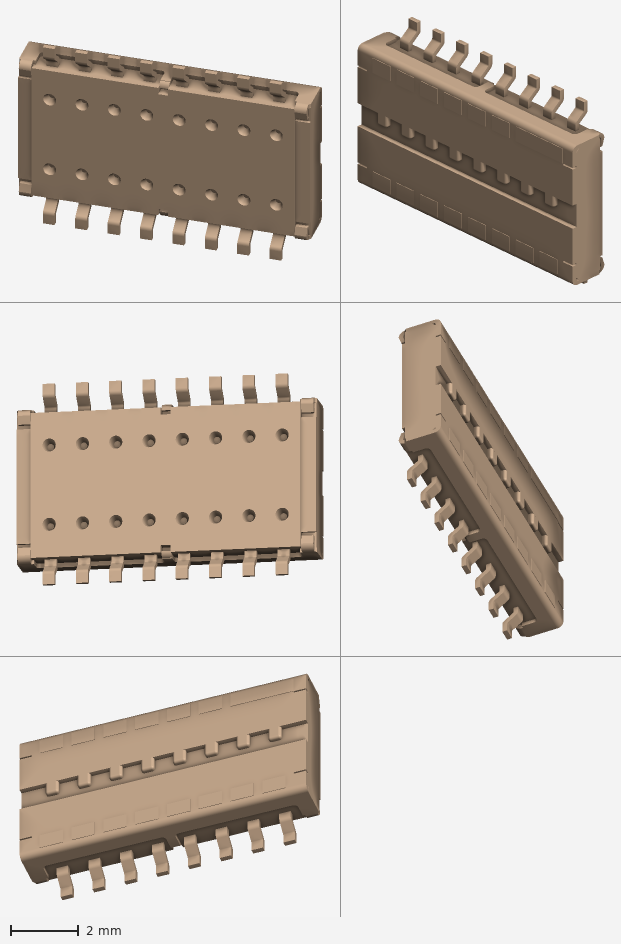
import cadquery as cq
import math


length = 9.0
half_length = length / 2
positions = 8
pitch = 1.0

cover_half_height = 2.34
side_thickness = 0.135
back_thickness = 0.16
cover_outer_radius = 0.19
cover_inner_radius = 0.05
inner_back_y = -back_thickness
side_edge_y = -1.12
end_wall_inner_x = 4.05
end_wall_front_y = -1.25
hook_notch_y = -1.15
hook_notch_inner_z = 1.75
corner_gap_leg = 0.11

window_back_y = -0.59
window_outer_x = 4.0
window_corner_radius = 0.135
tab_width = 0.3
tab_half_width = tab_width / 2
tab_bend_radius = 0.2
tab_front_y = -1.23

hook_inner_x = 4.07
hook_outer_x = 4.44
hook_bend_radius = 0.22
hook_front_y = -1.39
hook_tip_length = 0.25
hook_tip_shift = 0.08
hook_shoulder_y = -1.2

groove_half_height = 0.39
slit_z = 1.63
slit_width = 0.05
slit_length = 0.4
pad_width = 0.73
pad_height = 0.02
pad_inner_z = slit_z + slit_width / 2
pad_outer_z = cover_half_height - cover_outer_radius
first_pad_start_x = -4.1

base_half_height = cover_half_height - side_thickness
base_front_y = -1.35
tab_notch_height = 0.22

hole_row_z = 1.21
hole_mouth_radius = 0.2
hole_bottom_radius = 0.1
hole_depth = 0.27

lead_width = 0.36
lead_thickness = 0.15
lead_root_y = -1.02
lead_front_y = -1.45
lead_foot_y = lead_front_y + lead_thickness / 2
lead_lower_bend_z = 2.44
lead_upper_bend_z = 2.71
lead_tip_z = 3.05
lead_inner_bend_radius = 0.06
lead_outer_bend_radius = 0.14

knob_width = 0.41
knob_lower_z = -0.02
knob_radius = 0.08
knob_upper_z = groove_half_height
slider_pocket_depth = 0.18

position_x = [(i - (positions - 1) / 2) * pitch for i in range(positions)]


def box(x_range, y_range, z_range):
    """Axis-aligned block from three (start, end) ranges."""
    (x0, x1), (y0, y1), (z0, z1) = x_range, y_range, z_range
    return cq.Workplane("XY").box(x1 - x0, y1 - y0, z1 - z0, centered=False).translate((x0, y0, z0))


def both_long_sides(shape):
    """The shape together with its copy on the -Z side."""
    return shape.union(shape.mirror("XY"))


def bent_strip(x_start, x_end, front_y, outer_radius, tip_length=0.0, tip_shift=0.0):
    """Piece of the +Z cover side that curls down over the base front, with an optional slanted tip."""
    inner_radius = outer_radius - side_thickness
    centre_y = front_y + outer_radius
    centre_z = cover_half_height - outer_radius
    diagonal = math.sqrt(0.5)
    tip_z = centre_z - tip_length
    profile = (
        cq.Workplane("YZ").workplane(offset=x_start)
        .moveTo(window_back_y, cover_half_height)
        .lineTo(centre_y, cover_half_height)
        .threePointArc(
            (centre_y - outer_radius * diagonal, centre_z + outer_radius * diagonal),
            (front_y, centre_z),
        )
    )
    if tip_length > 0:
        profile = profile.lineTo(front_y + tip_shift, tip_z)
        profile = profile.lineTo(front_y + side_thickness + tip_shift, tip_z)
    return (
        profile.lineTo(front_y + side_thickness, centre_z)
        .threePointArc(
            (centre_y - inner_radius * diagonal, centre_z + inner_radius * diagonal),
            (centre_y, base_half_height),
        )
        .lineTo(window_back_y, base_half_height)
        .close()
        .extrude(x_end - x_start)
    )


def make_inner_block(x_range, front_y):
    """Block that fits inside the channel, clear of its two inner corners."""
    block = box(x_range, (front_y, inner_back_y), (-base_half_height, base_half_height))
    return block.edges("|X and >Y").chamfer(corner_gap_leg)


def make_channel():
    """Sheet around the back and the long sides, without its openings."""
    x_range = (-half_length, half_length)
    outer = box(x_range, (side_edge_y, 0), (-cover_half_height, cover_half_height))
    outer = outer.edges("|X and >Y").fillet(cover_outer_radius)
    inner = box(x_range, (side_edge_y, inner_back_y), (-base_half_height, base_half_height))
    inner = inner.edges("|X and >Y").fillet(cover_inner_radius)
    return outer.cut(inner)


def make_end_wall():
    """+X end wall, cut back at its front corners to clear the hooks."""
    wall = make_inner_block((end_wall_inner_x, half_length), end_wall_front_y)
    notch = box(
        (end_wall_inner_x, half_length),
        (end_wall_front_y, hook_notch_y),
        (hook_notch_inner_z, base_half_height),
    )
    return wall.cut(both_long_sides(notch))


def make_side_window():
    """Cutter for the +X opening, through both long sides of the cover."""
    return box(
        (tab_half_width, window_outer_x),
        (2 * base_front_y, window_back_y),
        (-cover_half_height, cover_half_height),
    ).edges("|Z and >Y").fillet(window_corner_radius)


def make_hook():
    """Corner hook at +X, +Z with a slanted shoulder on its outer side."""
    hook = bent_strip(
        hook_inner_x, half_length, hook_front_y, hook_bend_radius, hook_tip_length, hook_tip_shift
    )
    shoulder = (
        cq.Workplane("XY")
        .polyline([
            (half_length, side_edge_y),
            (hook_outer_x, hook_shoulder_y),
            (hook_outer_x, base_front_y - side_thickness),
            (half_length, base_front_y - side_thickness),
        ])
        .close()
        .extrude(cover_half_height)
    )
    return hook.cut(shoulder)


def make_pads():
    """Raised pads along the +Z edge of the back, one per position."""
    pads = cq.Workplane("XY")
    for x in position_x:
        x_range = (x - pad_width / 2, x + pad_width / 2)
        pads = pads.union(box(x_range, (inner_back_y, pad_height), (pad_inner_z, pad_outer_z)))
    return pads


def make_first_pad_bridge():
    """Pad that joins the first two +Z pads and runs on towards the -X end."""
    return box((first_pad_start_x, position_x[1]), (inner_back_y, pad_height), (pad_inner_z, pad_outer_z))


def make_end_slits():
    """Round-ended slits that run in from both ends of the cover back."""
    return (
        cq.Workplane("XZ")
        .pushPoints([(x, z) for x in (-half_length, half_length) for z in (-slit_z, slit_z)])
        .slot2D(2 * slit_length, slit_width)
        .extrude(back_thickness)
    )


def make_slider_block(x):
    """Plain block of one slider, reaching from the back face into its pocket in the base."""
    return box(
        (x - knob_width / 2, x + knob_width / 2),
        (inner_back_y - slider_pocket_depth, 0),
        (knob_lower_z, knob_upper_z),
    )


def make_slider(x):
    """Slider with a rounded knob; the end against the groove wall stays square."""
    block = make_slider_block(x)
    block = block.edges("|Y and <Z").fillet(knob_radius)
    return block.faces(">Y").edges("not >Z").fillet(knob_radius)


def make_cover(sliders):
    cover = make_channel()
    window = make_side_window()
    cover = cover.cut(window).cut(window.mirror("YZ"))

    hook = make_hook()
    hooks = both_long_sides(hook.union(hook.mirror("YZ")))
    tabs = both_long_sides(bent_strip(-tab_half_width, tab_half_width, tab_front_y, tab_bend_radius))
    cover = cover.union(hooks).union(tabs)

    end_wall = make_end_wall()
    cover = cover.union(end_wall).union(end_wall.mirror("YZ"))

    cover = cover.union(both_long_sides(make_pads())).union(make_first_pad_bridge())
    cover = cover.cut(make_end_slits())
    cover = cover.cut(
        box((-half_length, half_length), (inner_back_y, 0), (-groove_half_height, groove_half_height))
    )
    for slider in sliders:
        cover = cover.cut(slider)
    return cover


def make_lead(x):
    """Gull-wing lead at the +Z side, its thickness set off evenly from a bent centre line."""
    half = lead_thickness / 2
    rise = lead_upper_bend_z - lead_lower_bend_z
    bend_angle = math.atan2(lead_root_y - lead_foot_y, rise)
    miter = half * math.tan(bend_angle / 2)
    lead = (
        cq.Workplane("YZ").workplane(offset=x - lead_width / 2)
        .polyline([
            (lead_root_y + half, base_half_height - half),
            (lead_root_y + half, lead_lower_bend_z + miter),
            (lead_foot_y + half, lead_upper_bend_z + miter),
            (lead_foot_y + half, lead_tip_z),
            (lead_foot_y - half, lead_tip_z),
            (lead_foot_y - half, lead_upper_bend_z - miter),
            (lead_root_y - half, lead_lower_bend_z - miter),
            (lead_root_y - half, base_half_height - half),
        ])
        .close()
        .extrude(lead_width)
    )
    inner_bends = [
        (x, lead_foot_y + half, lead_upper_bend_z + miter),
        (x, lead_root_y - half, lead_lower_bend_z - miter),
    ]
    outer_bends = [
        (x, lead_root_y + half, lead_lower_bend_z + miter),
        (x, lead_foot_y - half, lead_upper_bend_z - miter),
    ]
    for bend in inner_bends:
        lead = lead.edges(cq.NearestToPointSelector(bend)).fillet(lead_inner_bend_radius)
    for bend in outer_bends:
        lead = lead.edges(cq.NearestToPointSelector(bend)).fillet(lead_outer_bend_radius)
    return lead


def make_front_holes():
    """Tapered blind holes, one per lead."""
    hole = cq.Solid.makeCone(
        hole_mouth_radius, hole_bottom_radius, hole_depth, pnt=cq.Vector(0, 0, 0), dir=cq.Vector(0, 1, 0)
    )
    places = [(x, base_front_y, z) for x in position_x for z in (-hole_row_z, hole_row_z)]
    return [hole.translate(cq.Vector(*place)) for place in places]


def make_base(sliders):
    base = make_inner_block((-end_wall_inner_x, end_wall_inner_x), base_front_y)
    tab_notch = box(
        (-tab_half_width, tab_half_width),
        (base_front_y, tab_front_y + tab_bend_radius),
        (base_half_height - tab_notch_height, base_half_height),
    )
    base = base.cut(both_long_sides(tab_notch))

    for hole in make_front_holes():
        base = base.cut(cq.Workplane(hole))
    for slider in sliders:
        base = base.cut(slider)
    for x in position_x:
        base = base.union(both_long_sides(make_lead(x)))
    return base


sliders = [make_slider(x) for x in position_x]
cover = make_cover(sliders)
base = make_base(sliders)

result = cq.Compound.makeCompound([
    base.solids().val(),
    cover.solids().val(),
    *[slider.solids().val() for slider in sliders],
])